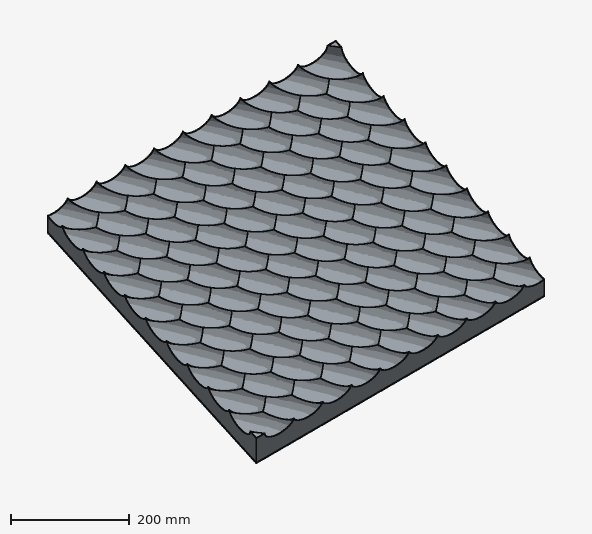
import cadquery as cq

side = 600.0
height = 70.0

cells_per_side = 10
pitch = side / cells_per_side
hollow_radius = 30.5
hollow_half_length = 62.5
diagonal_angle = 45.0

blank_height = height + 2 * hollow_radius


def block(block_height):
    """Square block standing on Z = 0, centred in X and Y."""
    return cq.Workplane("XY").box(side, side, block_height, centered=(True, True, False)).val()


def hollow():
    """Ellipsoid of revolution about a horizontal diagonal axis, centred on the origin."""
    return (
        cq.Workplane("XZ")
        .ellipseArc(hollow_half_length, hollow_radius, 0, 180, startAtCurrent=False)
        .close()
        .revolve(360, (0, 0), (1, 0))
        .rotate((0, 0, 0), (0, 0, 1), diagonal_angle)
        .val()
    )


def cell_centers():
    """Middle of every grid cell at the level of the slab top."""
    first = (pitch - side) / 2
    return [
        cq.Vector(first + column * pitch, first + row * pitch, height)
        for column in range(cells_per_side)
        for row in range(cells_per_side)
    ]


hollows = [hollow().translate(center) for center in cell_centers()]
result = cq.Workplane(block(blank_height).cut(*hollows).intersect(block(height)))